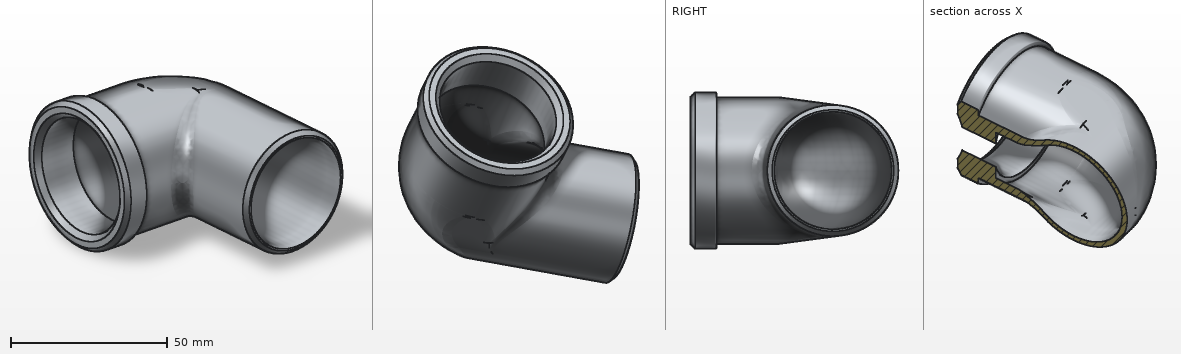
import cadquery as cq
import math

OVERALL_LENGTH = 79.5
OVERALL_DEPTH = 66.5

COLLAR_RADIUS = 50.1 / 2
COLLAR_HEIGHT = 8.35
COLLAR_CHAMFER = 1.5
COLLAR_BACK_FILLET = 0.55

INLET_RADIUS = 47.0 / 2
INLET_CAVITY_RADIUS = 42.6 / 2
INLET_BORE_RADIUS = 38.95 / 2
INLET_BORE_DEPTH = 15.0

OUTLET_RADIUS = 41.9 / 2
OUTLET_BORE_RADIUS = 37.5 / 2
OUTLET_CHAMFER = 1.5
OUTLET_ROOT_X = -18.3

BEND_RADIUS = 15.0
CROTCH_FILLET = 5.0
OUTER_RIDGE_FILLET = 7.95
CAVITY_RIDGE_FILLET = 5.0

OUTLET_END_X = OVERALL_LENGTH - COLLAR_RADIUS
INLET_END_Y = OUTLET_RADIUS - OVERALL_DEPTH
BEND_START_Y = OUTLET_RADIUS - INLET_RADIUS - BEND_RADIUS

SEAM_STOP_Z = 1.6
FLAT_STOP_Y = BEND_START_Y + 0.8
RIGHT_STOP_Y = -3.2


def cylinder_along_x(radius, start, end):
    return cq.Workplane("YZ", origin=(start, 0, 0)).circle(radius).extrude(end - start)


def cylinder_along_y(radius, start, end):
    return cq.Workplane("XZ", origin=(0, start, 0)).circle(radius).extrude(start - end)


def box_between(low, high):
    size = [b - a for a, b in zip(low, high)]
    return cq.Workplane().box(*size, centered=False).translate(low)


def flat_tangent_point(inlet_radius, outlet_radius):
    """Y and Z where a flat from the inlet height at the bend start touches the outlet."""
    corner_distance = math.hypot(BEND_START_Y, inlet_radius)
    corner_angle = math.atan2(inlet_radius, BEND_START_Y)
    angle = corner_angle - math.acos(outlet_radius / corner_distance)
    return outlet_radius * math.cos(angle), outlet_radius * math.sin(angle)


def wedge(inlet_radius, outlet_radius):
    """Space between the two sloping flats, from the inlet end to the outlet tangent lines."""
    tangent_y, tangent_z = flat_tangent_point(inlet_radius, outlet_radius)
    slope = tangent_y / tangent_z
    end_z = tangent_z + (tangent_y - INLET_END_Y) * slope
    corners = [
        (INLET_END_Y, -end_z),
        (tangent_y, -tangent_z),
        (tangent_y, tangent_z),
        (INLET_END_Y, end_z),
    ]
    start_x = -inlet_radius
    length = OUTLET_END_X - start_x
    return cq.Workplane("YZ", origin=(start_x, 0, 0)).polyline(corners).close().extrude(length)


def bend_cutter(radius):
    """Everything over the outer corner that lies outside the quarter bend."""
    half_chord = math.sqrt(radius**2 - BEND_RADIUS**2)
    bend = (
        cq.Workplane("XZ", origin=(0, BEND_START_Y, 0))
        .moveTo(BEND_RADIUS, -half_chord)
        .threePointArc((-radius, 0), (BEND_RADIUS, half_chord))
        .close()
        .revolve(90, (BEND_RADIUS, 0.8, 0), (BEND_RADIUS, 0, 0))
    )
    reach = COLLAR_RADIUS
    left = box_between((-reach, BEND_START_Y, -reach), (0, reach, reach))
    right = box_between((0, 0, -reach), (BEND_RADIUS, reach, reach))
    return left.union(right).cut(bend)


def inside(low, high):
    """Selector for edges whose centres lie strictly between two corners."""
    margin = 0.1
    return cq.selectors.BoxSelector(
        tuple(a + margin for a in low),
        tuple(b - margin for b in high),
    )


def round_ridges(solid, low, high, radius, pick):
    """Round the picked ridges inside a box-shaped region of the solid."""
    region = box_between(low, high)
    piece = solid.intersect(region)
    rounded = pick(piece).edges(inside(low, high)).fillet(radius)
    return solid.cut(region).union(rounded)


def round_upper_ridges(shape, radius):
    """Round the two ridges of the upper flat and the upper half of the bend seam."""
    reach = COLLAR_RADIUS
    shape = round_ridges(
        shape,
        (0, FLAT_STOP_Y, SEAM_STOP_Z),
        (reach, RIGHT_STOP_Y, reach),
        radius,
        lambda piece: piece.edges("%ELLIPSE"),
    )
    return round_ridges(
        shape,
        (-reach, FLAT_STOP_Y, SEAM_STOP_Z),
        (BEND_RADIUS, reach, reach),
        radius,
        lambda piece: piece.faces("%TORUS or %REVOLUTION"),
    )


def elbow(inlet_radius, outlet_radius, crotch_radius, ridge_radius):
    """Inlet and outlet cylinders joined by the bend and its two flats, with plain ends."""
    inlet = cylinder_along_y(inlet_radius, INLET_END_Y, 2 * inlet_radius)
    tee = inlet.union(cylinder_along_x(outlet_radius, 0, OUTLET_END_X))
    crotch_low = (0.8, -outlet_radius - 0.8, -inlet_radius)
    crotch_high = (inlet_radius + 0.8, outlet_radius + 0.8, inlet_radius)
    crotch = cq.selectors.BoxSelector(crotch_low, crotch_high, boundingbox=True)
    shape = (
        tee.edges(crotch)
        .fillet(crotch_radius)
        .intersect(wedge(inlet_radius, outlet_radius))
        .union(cylinder_along_x(outlet_radius, OUTLET_ROOT_X, OUTLET_END_X))
        .cut(bend_cutter(inlet_radius))
        .clean()
    )
    half_space = box_between(
        (-COLLAR_RADIUS, INLET_END_Y, 0), (OUTLET_END_X, COLLAR_RADIUS, COLLAR_RADIUS)
    )
    upper = round_upper_ridges(shape.intersect(half_space), ridge_radius)
    return upper.union(upper.mirror("XY")).clean()


collar = (
    cylinder_along_y(COLLAR_RADIUS, INLET_END_Y, INLET_END_Y + COLLAR_HEIGHT)
    .faces("<Y")
    .chamfer(COLLAR_CHAMFER)
    .faces(">Y")
    .fillet(COLLAR_BACK_FILLET)
)
outside = (
    elbow(INLET_RADIUS, OUTLET_RADIUS, CROTCH_FILLET, OUTER_RIDGE_FILLET)
    .faces(">X")
    .chamfer(OUTLET_CHAMFER)
    .union(collar)
)

inlet_wall = INLET_RADIUS - INLET_CAVITY_RADIUS
cavity = elbow(
    INLET_CAVITY_RADIUS,
    OUTLET_BORE_RADIUS,
    CROTCH_FILLET + inlet_wall,
    CAVITY_RIDGE_FILLET,
)

bore_end_y = INLET_END_Y + INLET_BORE_DEPTH
bore_sleeve = cylinder_along_y(INLET_CAVITY_RADIUS, INLET_END_Y, bore_end_y).cut(
    cylinder_along_y(INLET_BORE_RADIUS, INLET_END_Y, bore_end_y)
)

result = (
    outside.cut(cavity)
    .union(bore_sleeve)
    .faces("<Y")
    .edges(cq.selectors.RadiusNthSelector(0))
    .chamfer(INLET_CAVITY_RADIUS - INLET_BORE_RADIUS)
)